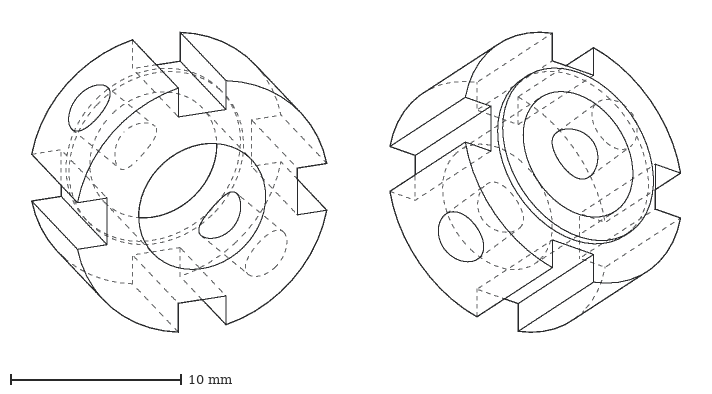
import cadquery as cq

body_diameter = 16.0
body_length = 7.5
collar_diameter = 11.0
collar_length = 0.5
bore_diameter = 8.0
total_length = body_length + collar_length

slot_count = 4
slot_width = 3.0
slot_floor_radius = 6.0

cross_hole_diameter = 3.24
cross_hole_x = total_length / 2
cross_hole_angle = 45.0


def make_blank():
    """Collar and body as two stacked cylinders, starting at X = 0."""
    collar = cq.Workplane("YZ").circle(collar_diameter / 2).extrude(collar_length)
    body = (
        cq.Workplane("YZ")
        .workplane(offset=collar_length)
        .circle(body_diameter / 2)
        .extrude(body_length)
    )
    return collar.union(body)


def make_slot(angle):
    """Cutter for one rim slot, turned about the X axis from the +Z side."""
    slot_height = body_diameter / 2
    slot = cq.Workplane("XY").box(
        total_length, slot_width, slot_height, centered=(False, True, False)
    )
    return slot.translate((0, 0, slot_floor_radius)).rotate((0, 0, 0), (1, 0, 0), angle)


def make_bore():
    """Cutter for the central bore."""
    return cq.Workplane("YZ").circle(bore_diameter / 2).extrude(total_length)


def make_cross_hole():
    """Cutter for the hole that crosses the axis and leaves through both walls."""
    hole = (
        cq.Workplane("XY")
        .center(cross_hole_x, 0)
        .circle(cross_hole_diameter / 2)
        .extrude(body_diameter, both=True)
    )
    return hole.rotate((0, 0, 0), (1, 0, 0), cross_hole_angle)


result = make_blank().cut(make_bore())
for i in range(slot_count):
    result = result.cut(make_slot(i * 360 / slot_count))
result = result.cut(make_cross_hole())